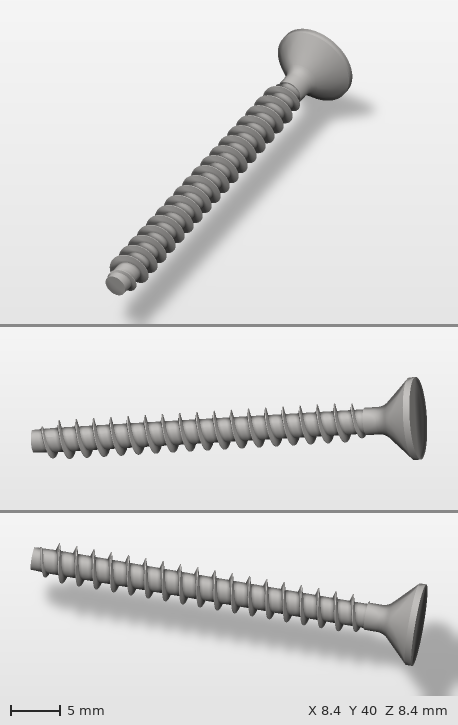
import cadquery as cq
import math


LENGTH = 40.0
HEAD_RADIUS = 4.2
HEAD_RIM = 0.7
HEAD_CONE_ANGLE = math.radians(45)
NECK_FILLET = 1.5
SHANK_RADIUS = 1.4
SHANK_END = 5.5
CORE_RADIUS = 1.25
TIP_RADIUS = 1.15

CREST_RADIUS = 2.0
LEAD_IN_RADIUS = 1.55
CREST_WIDTH = 0.1
ROOT_WIDTH = 0.6
ROOT_OVERLAP = 0.2
FULL_THREAD_START = 7.3
FULL_THREAD_LENGTH = 30.4
FULL_THREAD_TURNS = 17
TAPER_TURNS = 1.1
POINTS_PER_TURN = 24

PITCH = FULL_THREAD_LENGTH / FULL_THREAD_TURNS
FULL_THREAD_END = FULL_THREAD_START + FULL_THREAD_LENGTH
ROOT_RADIUS = TIP_RADIUS - ROOT_OVERLAP


def make_body():
    """Revolve the countersunk head, the neck, the plain shank and the threaded core."""
    fillet_center_radius = SHANK_RADIUS + NECK_FILLET
    cone_end_radius = fillet_center_radius - NECK_FILLET * math.cos(HEAD_CONE_ANGLE)
    cone_end = HEAD_RIM + (HEAD_RADIUS - cone_end_radius) / math.tan(HEAD_CONE_ANGLE)
    neck_end = cone_end + NECK_FILLET * math.sin(HEAD_CONE_ANGLE)
    half_angle = HEAD_CONE_ANGLE / 2
    arc_middle = (
        fillet_center_radius - NECK_FILLET * math.cos(half_angle),
        -(neck_end - NECK_FILLET * math.sin(half_angle)),
    )
    return (
        cq.Workplane("XY")
        .lineTo(HEAD_RADIUS, 0)
        .lineTo(HEAD_RADIUS, -HEAD_RIM)
        .lineTo(cone_end_radius, -cone_end)
        .threePointArc(arc_middle, (SHANK_RADIUS, -neck_end))
        .lineTo(SHANK_RADIUS, -SHANK_END)
        .lineTo(CORE_RADIUS, -SHANK_END)
        .lineTo(CORE_RADIUS, -FULL_THREAD_END)
        .lineTo(TIP_RADIUS, -LENGTH)
        .lineTo(0, -LENGTH)
        .close()
        .revolve(360, (0, 0, 0), (0, 1, 0))
    )


def helix_edge(first_turn, last_turn, first_radius, last_radius, axial_offset):
    """Helix between two turns; turn 0 is on the -X side where the full thread starts."""
    steps = math.ceil((last_turn - first_turn) * POINTS_PER_TURN)
    points = []
    for step in range(steps + 1):
        fraction = step / steps
        turn = first_turn + (last_turn - first_turn) * fraction
        radius = first_radius + (last_radius - first_radius) * fraction
        angle = 2 * math.pi * turn
        depth = FULL_THREAD_START + PITCH * turn + axial_offset
        points.append(cq.Vector(-radius * math.cos(angle), -depth, -radius * math.sin(angle)))
    return cq.Edge.makeSpline(points)


def thread_section(first_turn, last_turn, first_crest, last_crest):
    """Solid ridge of trapezoidal profile whose crest radius changes evenly along it."""
    turns = (first_turn, last_turn)
    corners = [
        helix_edge(*turns, ROOT_RADIUS, ROOT_RADIUS, -ROOT_WIDTH / 2),
        helix_edge(*turns, first_crest, last_crest, -CREST_WIDTH / 2),
        helix_edge(*turns, first_crest, last_crest, CREST_WIDTH / 2),
        helix_edge(*turns, ROOT_RADIUS, ROOT_RADIUS, ROOT_WIDTH / 2),
    ]
    faces = [
        cq.Face.makeRuledSurface(corner, next_corner)
        for corner, next_corner in zip(corners, corners[1:] + corners[:1])
    ]
    for end in (0, 1):
        profile = cq.Wire.makePolygon([corner.positionAt(end) for corner in corners], close=True)
        faces.append(cq.Face.makeFromWires(profile))
    return cq.Workplane(cq.Solid.makeSolid(cq.Shell.makeShell(faces)))


def make_lead_in():
    """Growing start of the thread, cut off flush with the shank shoulder."""
    lead_in = thread_section(-TAPER_TURNS, 0, LEAD_IN_RADIUS, CREST_RADIUS)
    shank_zone = cq.Workplane("XZ").circle(HEAD_RADIUS).extrude(SHANK_END)
    return lead_in.cut(shank_zone)


def make_run_out():
    """Shrinking end of the thread, which sinks into the tapered tip."""
    last_turn = FULL_THREAD_TURNS + TAPER_TURNS
    return thread_section(FULL_THREAD_TURNS, last_turn, CREST_RADIUS, TIP_RADIUS)


result = make_body().union(make_lead_in())
for first_turn in range(FULL_THREAD_TURNS):
    result = result.union(thread_section(first_turn, first_turn + 1, CREST_RADIUS, CREST_RADIUS))
result = result.union(make_run_out())